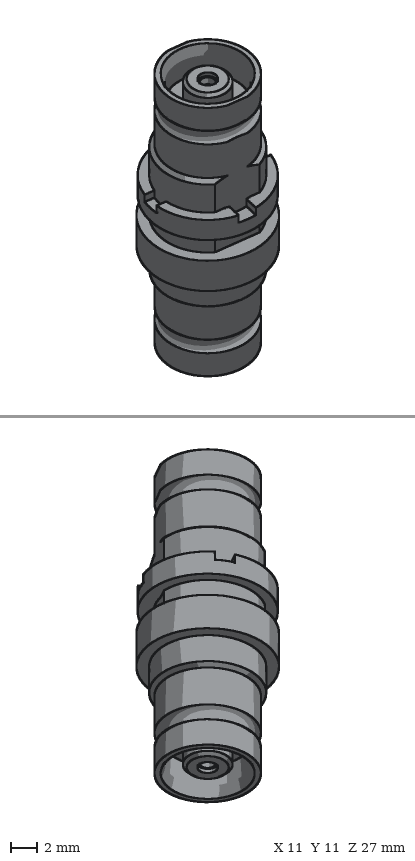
import cadquery as cq

total_length = 27.0
mid_height = total_length / 2

barrel_radius = 4.1
body_radius = 4.5
body_half_length = 6.13
body_taper_length = 0.32
flange_diameter = 11.0
flange_radius = flange_diameter / 2
flange_bottom = 9.75
flange_top = 12.8

groove_inner_radius = 3.7
groove_width = 1.35
groove_depth_from_end = 2.32

flat_distance = 4.0

ring_bore_radius = 4.15
ring_radius = 5.4
ring_bottom = 14.8
ring_top = 16.82
ring_slot_width = 1.6
ring_slot_depth = 0.73

socket_mouth_radius = 3.62
socket_radius = 3.3
socket_taper_depth = 0.97
socket_depth = 2.84
pin_radius = 1.92
pin_recess = 0.55
pin_chamfer = 0.3

contact_bore_radius = 0.78
contact_bore_depth = 0.38
contact_mouth_radius = 0.65
contact_floor_radius = 0.45
contact_floor_depth = 0.92


def disc(radius, bottom, top):
    """Solid cylinder on the Z axis between two heights."""
    return cq.Workplane("XY").workplane(offset=bottom).circle(radius).extrude(top - bottom)


def mirrored_end(upper):
    """Copy of an upper-end feature placed at the lower end."""
    return upper.mirror("XY", (0, 0, mid_height))


def make_groove():
    """Revolved cutter with an arc profile for the upper snap groove."""
    upper_edge = total_length - groove_depth_from_end
    lower_edge = upper_edge - groove_width
    mid_edge = (upper_edge + lower_edge) / 2
    return (
        cq.Workplane("XZ")
        .moveTo(barrel_radius, lower_edge)
        .threePointArc((groove_inner_radius, mid_edge), (barrel_radius, upper_edge))
        .lineTo(flange_radius, upper_edge)
        .lineTo(flange_radius, lower_edge)
        .close()
        .revolve(360, (0, 0, 0), (0, 1, 0))
    )


def make_socket():
    """Revolved cutter for the upper socket, leaving the centre pin standing."""
    floor = total_length - socket_depth
    pin_top = total_length - pin_recess
    return (
        cq.Workplane("XZ")
        .moveTo(0, total_length)
        .lineTo(socket_mouth_radius, total_length)
        .lineTo(socket_radius, total_length - socket_taper_depth)
        .lineTo(socket_radius, floor)
        .lineTo(pin_radius, floor)
        .lineTo(pin_radius, pin_top - pin_chamfer)
        .lineTo(pin_radius - pin_chamfer, pin_top)
        .lineTo(contact_bore_radius, pin_top)
        .lineTo(contact_bore_radius, pin_top - contact_bore_depth)
        .lineTo(contact_mouth_radius, pin_top - contact_bore_depth)
        .lineTo(contact_floor_radius, pin_top - contact_floor_depth)
        .lineTo(0, pin_top - contact_floor_depth)
        .close()
        .revolve(360, (0, 0, 0), (0, 1, 0))
    )


def cut_flats(body):
    """Trim both X sides of the body above the flange."""
    height = total_length - flange_top
    keep = (
        cq.Workplane("XY")
        .workplane(offset=flange_top)
        .rect(2 * flat_distance, 2 * flange_radius)
        .extrude(height)
    )
    return body.cut(disc(flange_radius, flange_top, total_length).cut(keep))


def make_ring():
    """Ring around the body with four slots across its top face."""
    ring = disc(ring_radius, ring_bottom, ring_top).cut(disc(ring_bore_radius, ring_bottom, ring_top))
    slot_floor = ring_top - ring_slot_depth
    for length, width in ((2 * flange_radius, ring_slot_width), (ring_slot_width, 2 * flange_radius)):
        slot = cq.Workplane("XY").workplane(offset=slot_floor).rect(length, width).extrude(ring_slot_depth)
        ring = ring.cut(slot)
    return ring


def make_body():
    """Long barrel with a thicker middle that tapers down to it at both ends."""
    taper_start = mid_height + body_half_length
    taper = cq.Workplane(cq.Solid.makeCone(
        body_radius, barrel_radius, body_taper_length, cq.Vector(0, 0, taper_start)
    ))
    middle = disc(body_radius, mid_height - body_half_length, taper_start)
    return disc(barrel_radius, 0, total_length).union(middle).union(taper).union(mirrored_end(taper))


result = cut_flats(make_body()).union(make_ring()).union(disc(flange_radius, flange_bottom, flange_top))
for cutter in (make_groove(), make_socket()):
    result = result.cut(cutter).cut(mirrored_end(cutter))